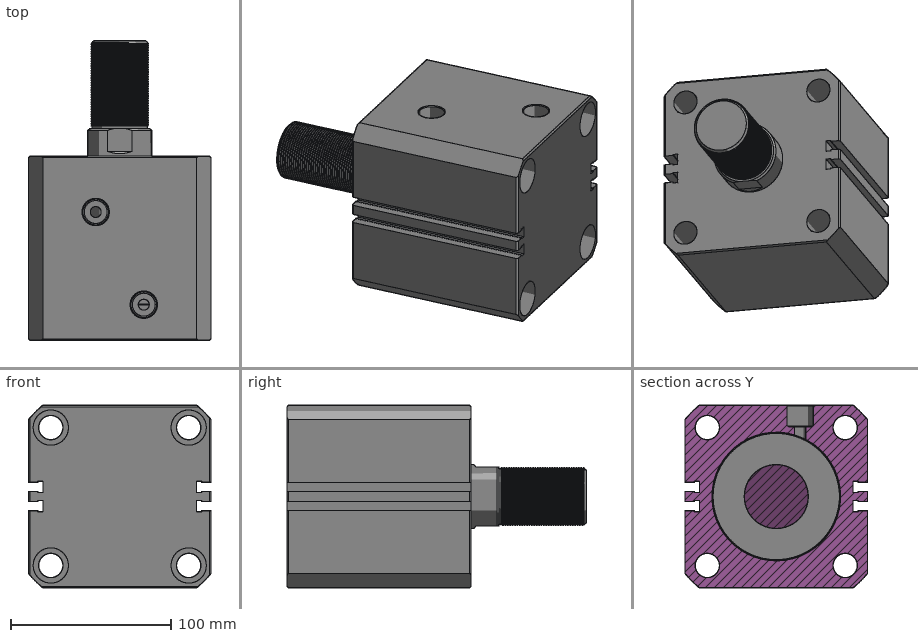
import cadquery as cq
import math


overall_length = 187.0

width = 114.0
length = 115.0
corner_flat = 48.0
corner_radius = math.hypot(width / 2, corner_flat)
end_chamfer = 1.0

slot_offset = 6.0
slot_mouth_width = 5.6
slot_mouth_depth = 6.0
slot_inner_width = 6.8
slot_depth = 9.0

mount_offset = 43.0
mount_diameter = 15.0
counterbore_diameter = 22.0
counterbore_depth = 18.0

bore_radius = 40.0
end_wall = 22.2

port_places = [(-15.0, 80.1), (15.0, 22.3)]
port_mouth_diameter = 17.1
port_mouth_chamfer = 0.55
port_depth = 13.0
port_seat_diameter = 14.3
port_seat_depth = 0.5
port_passage_diameter = 6.8

piston_length = 25.0
piston_chamfer = 0.6

rod_radius = 20.0
shank_length = 17.2
shoulder_chamfer = 1.2
flat_half_width = 18.5
flat_start = 1.5
neck_radius = 17.45
neck_length = 1.5

thread_radius = 18.0
thread_pitch = 1.5
thread_depth = 0.7
groove_mouth = 0.8 * thread_pitch
groove_overreach = 0.2
tip_chamfer = 1.8
thread_phase = 180.0

piston_front = end_wall + piston_length
shoulder = length + shank_length
thread_start = shoulder + neck_length
groove_start = shoulder + neck_length / 2


def cylinder_along_y(radius, start, end):
    """Cylinder on the rod axis between two places along Y."""
    return cq.Workplane("XZ", origin=(0, start, 0)).circle(radius).extrude(start - end)


def housing_block():
    block = cq.Workplane("XZ").rect(width, width).extrude(-length)
    block = block.faces("<Y or >Y").chamfer(end_chamfer)
    return block.intersect(cylinder_along_y(corner_radius, 0, length))


def sensor_slot(side, z):
    """T-shaped slot along the whole housing; side is +1 or -1 for the +X or -X face."""
    sections = []
    for slot_width, near, far in (
        (slot_mouth_width, 0, slot_mouth_depth),
        (slot_inner_width, slot_mouth_depth, slot_depth),
    ):
        middle_x = side * (width / 2 - (near + far) / 2)
        part = cq.Workplane("XY").box(far - near, length, slot_width)
        sections.append(part.translate((middle_x, length / 2, z)))
    mouth, inner = sections
    return mouth.union(inner)


def drill_down(x, y, diameter, top, bottom):
    return cq.Workplane("XY", origin=(x, y, bottom)).circle(diameter / 2).extrude(top - bottom)


def air_port(x, y):
    """Stepped port whose narrow passage ends on the bore's cylindrical surface."""
    top = width / 2
    seat = top - port_depth
    bored_diameter = port_mouth_diameter - 2 * port_mouth_chamfer
    port = drill_down(x, y, port_passage_diameter, top, 0)
    port = port.cut(cylinder_along_y(bore_radius, 0, length))
    port = port.union(drill_down(x, y, port_seat_diameter, top, seat - port_seat_depth))
    port = port.union(drill_down(x, y, bored_diameter, top, seat))
    mouth = (
        cq.Workplane("XY", origin=(x, y, top))
        .circle(port_mouth_diameter / 2)
        .extrude(-port_mouth_chamfer, taper=45)
    )
    return port.union(mouth)


def make_housing():
    housing = housing_block()
    for side in (-1, 1):
        for level in (-1, 1):
            housing = housing.cut(sensor_slot(side, level * slot_offset))
    mounts = cq.Workplane("XZ").rect(2 * mount_offset, 2 * mount_offset, forConstruction=True).vertices()
    housing = housing.cut(mounts.circle(mount_diameter / 2).extrude(-length))
    housing = housing.cut(mounts.circle(counterbore_diameter / 2).extrude(-counterbore_depth))
    housing = housing.cut(cylinder_along_y(bore_radius, end_wall, length - end_wall))
    housing = housing.cut(cylinder_along_y(rod_radius, length - end_wall, length))
    for x, y in port_places:
        housing = housing.cut(air_port(x, y))
    return housing


def make_piston():
    return cylinder_along_y(bore_radius, end_wall, piston_front).faces("<Y or >Y").chamfer(piston_chamfer)


def thread_groove():
    """V-shaped groove winding from the neck past the rod tip."""
    outer_radius = thread_radius + groove_overreach
    half_outer = groove_mouth / 2 * (1 + groove_overreach / thread_depth)
    helix = cq.Wire.makeHelix(thread_pitch, overall_length - shoulder, thread_radius)
    groove = (
        cq.Workplane("XZ")
        .polyline([
            (thread_radius - thread_depth, 0),
            (outer_radius, half_outer),
            (outer_radius, -half_outer),
        ])
        .close()
        .sweep(cq.Workplane(obj=helix), isFrenet=True)
    )
    groove = groove.rotate((0, 0, 0), (0, 0, 1), thread_phase)
    return groove.rotate((0, 0, 0), (1, 0, 0), -90).translate((0, groove_start, 0))


def flat_cutter(level):
    """Wrench flat on the +Z or -Z side, running out at 45 degrees toward the housing."""
    start = length + flat_start
    run_out = rod_radius - flat_half_width
    low = level * flat_half_width
    high = level * rod_radius
    return (
        cq.Workplane("YZ", origin=(-rod_radius, 0, 0))
        .polyline([(start + run_out, low), (start, high), (shoulder, high), (shoulder, low)])
        .close()
        .extrude(2 * rod_radius)
    )


def make_rod():
    rod = cylinder_along_y(rod_radius, piston_front, shoulder).faces(">Y").chamfer(shoulder_chamfer)
    for level in (-1, 1):
        rod = rod.cut(flat_cutter(level))
    rod = rod.union(cylinder_along_y(neck_radius, shoulder, thread_start))
    screw = cylinder_along_y(thread_radius, thread_start, overall_length).faces(">Y").chamfer(tip_chamfer)
    return rod.union(screw.cut(thread_groove()))


housing = make_housing()
piston = make_piston()
rod = make_rod()
result = cq.Compound.makeCompound([body.solids().val() for body in (housing, piston, rod)])